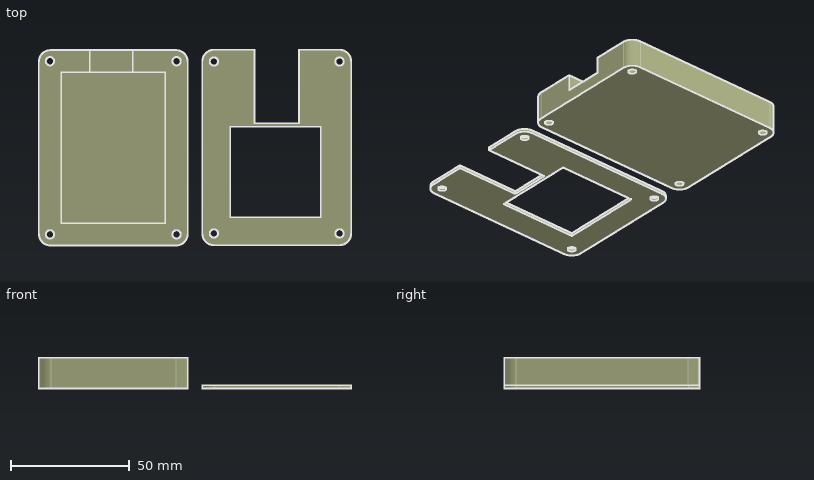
import cadquery as cq

case_width = 62.8
case_length = 82.5
corner_radius = 5.0
screw_hole_diameter = 3.4

housing_height = 13.0
housing_hole_pitch_x = 53.3
housing_hole_pitch_y = 73.0
pocket_width = 43.9
pocket_length = 63.5
pocket_depth = 10.0
notch_width = 18.2
notch_depth = 7.5
notch_offset_x = -0.8

cover_thickness = 1.5
cover_gap = 6.0
cover_offset_y = 0.1
cover_hole_pitch_x = 53.0
cover_hole_pitch_y = 72.4
slot_width = 18.6
slot_length = 31.0
window_size = 38.0
window_offset_x = -0.5
bridge_width = 1.6


def drilled_plate(height, hole_pitch_x, hole_pitch_y):
    """Round-cornered block on the ground plane with a through hole in each corner."""
    block = cq.Workplane("XY").rect(case_width, case_length).extrude(height)
    block = block.edges("|Z").fillet(corner_radius)
    holes = (
        cq.Workplane("XY")
        .rect(hole_pitch_x, hole_pitch_y, forConstruction=True)
        .vertices()
        .circle(screw_hole_diameter / 2)
        .extrude(height)
    )
    return block.cut(holes)


def make_housing():
    """Tray with a rectangular pocket and a shallower notch leading out of it."""
    body = drilled_plate(housing_height, housing_hole_pitch_x, housing_hole_pitch_y)
    top = cq.Workplane("XY").workplane(offset=housing_height)
    pocket = top.rect(pocket_width, pocket_length).extrude(-pocket_depth)
    notch_length = case_length / 2
    notch = (
        top.center(notch_offset_x, notch_length / 2)
        .rect(notch_width, notch_length)
        .extrude(-notch_depth)
    )
    return body.cut(pocket).cut(notch)


def make_cover():
    """Thin plate with a slot open at the +Y edge and a square window below it."""
    body = drilled_plate(cover_thickness, cover_hole_pitch_x, cover_hole_pitch_y)
    slot_center_y = case_length / 2 - slot_length / 2
    slot = (
        cq.Workplane("XY")
        .center(0, slot_center_y)
        .rect(slot_width, slot_length)
        .extrude(cover_thickness)
    )
    window_center_y = case_length / 2 - slot_length - bridge_width - window_size / 2
    window = (
        cq.Workplane("XY")
        .center(window_offset_x, window_center_y)
        .rect(window_size, window_size)
        .extrude(cover_thickness)
    )
    return body.cut(slot).cut(window)


housing = make_housing()
cover = make_cover().translate((case_width + cover_gap, cover_offset_y, 0))

result = cq.Compound.makeCompound([housing.val(), cover.val()])